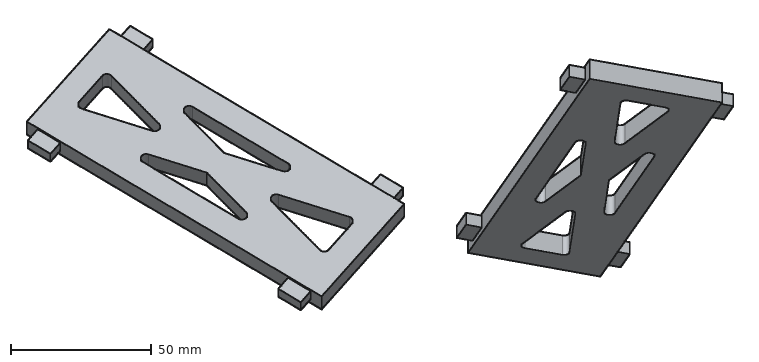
import cadquery as cq
import math

plate_length = 130.0
plate_width = 50.0
plate_thickness = 8.0

overall_width = 62.0
tab_length = 10.0
tab_height = 5.0
tab_end_inset = 4.8
tab_top_drop = 0.8

strut_angle = math.radians(15)
end_window_base_x = 55.0
end_window_tip_x = 19.2
side_window_base_y = 15.0
side_window_tip_y = 5.3
corner_radius = 2.0

end_window_half_base = (end_window_base_x - end_window_tip_x) * math.tan(strut_angle)
side_window_half_base = (side_window_base_y - side_window_tip_y) / math.tan(strut_angle)


def window(corners, rounded_edges):
    """Triangular through-cutter with the selected upright edges rounded."""
    prism = cq.Workplane("XY").polyline(corners).close().extrude(plate_thickness)
    return prism.edges("|Z").edges(rounded_edges).fillet(corner_radius)


def end_window(side):
    """Window beside a plate end, with all three corners rounded."""
    base_x = side * end_window_base_x
    corners = [
        (side * end_window_tip_x, 0),
        (base_x, end_window_half_base),
        (base_x, -end_window_half_base),
    ]
    return window(corners, "|Z")


def side_window(side):
    """Window along a long side, with a sharp corner at the plate middle."""
    base_y = side * side_window_base_y
    corners = [
        (0, side * side_window_tip_y),
        (side_window_half_base, base_y),
        (-side_window_half_base, base_y),
    ]
    return window(corners, ">Y" if side > 0 else "<Y")


def tab_bars():
    """Two crosswise bars whose ends form the four tabs."""
    bar_x = plate_length / 2 - tab_end_inset - tab_length / 2
    bar_z = plate_thickness - tab_top_drop - tab_height
    return (
        cq.Workplane("XY", origin=(0, 0, bar_z))
        .pushPoints([(-bar_x, 0), (bar_x, 0)])
        .rect(tab_length, overall_width)
        .extrude(tab_height)
    )


plate = cq.Workplane("XY").rect(plate_length, plate_width).extrude(plate_thickness)
result = plate.union(tab_bars())
for side in (-1, 1):
    result = result.cut(end_window(side)).cut(side_window(side))